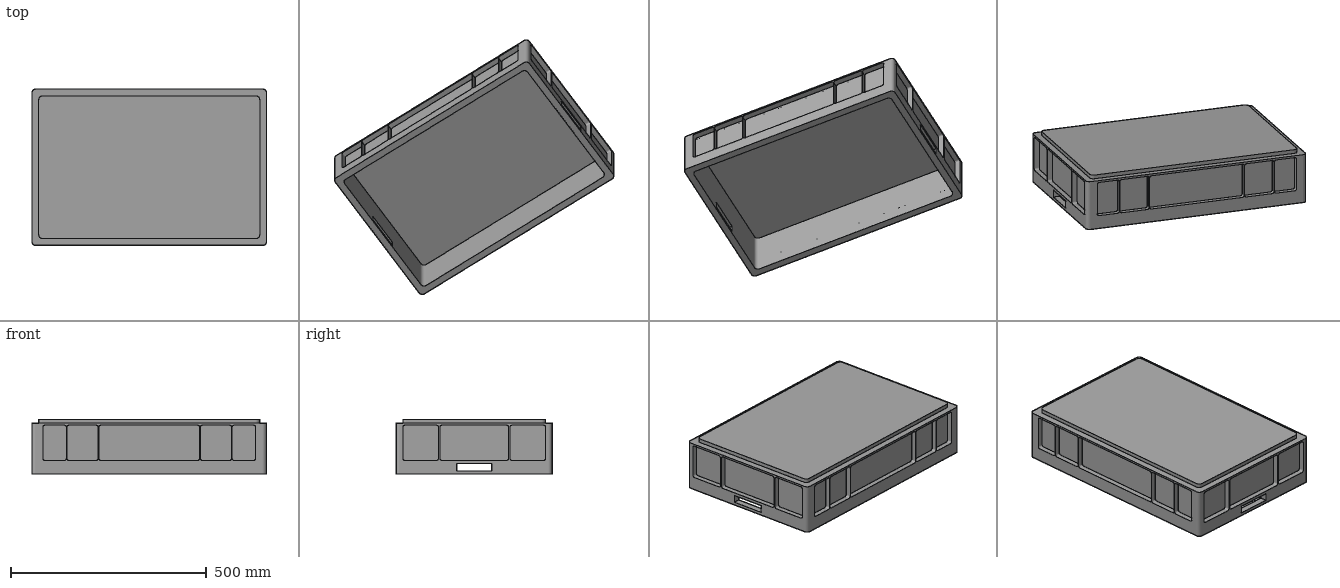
import cadquery as cq

LENGTH = 600.0
WIDTH = 400.0
HEIGHT = 140.0
FOOT_HEIGHT = 10.0
BODY_HEIGHT = HEIGHT - FOOT_HEIGHT
CORNER_RADIUS = 10.0

WALL = 17.5
ROOF = WALL
CAVITY_LENGTH = LENGTH - 2 * WALL
CAVITY_WIDTH = WIDTH - 2 * WALL
CAVITY_HEIGHT = HEIGHT - ROOF

PANEL_DEPTH = 14.0
PANEL_BOTTOM = 35.0
PANEL_HEIGHT = 90.0
PANEL_MIDDLE = PANEL_BOTTOM + PANEL_HEIGHT / 2
PANEL_RADIUS = 5.0

LONG_WALL_PANELS = (258.0, 80.0, 60.0)
LONG_WALL_RIB = 1.5
SHORT_WALL_PANELS = (175.0, 91.0)
SHORT_WALL_RIB = 4.0

SLOT_WIDTH = 89.0
SLOT_HEIGHT = 19.0
SLOT_BOTTOM = 8.0


def rounded_block(length, width, height, bottom):
    """Upright block centred on Z with rounded vertical edges."""
    block = cq.Workplane("XY").box(length, width, height, centered=(True, True, False))
    return block.edges("|Z").fillet(CORNER_RADIUS).translate((0, 0, bottom))


def panel_spans(widths, rib):
    """(centre, width) of every panel along a wall, for both halves of the wall."""
    spans = [(0.0, widths[0])]
    edge = widths[0] / 2
    for width in widths[1:]:
        centre = edge + rib + width / 2
        spans += [(-centre, width), (centre, width)]
        edge = centre + width / 2
    return spans


def panel_cutter(size_x, size_y, wall_axis):
    """Block with the four edges along the wall's normal axis rounded."""
    block = cq.Workplane("XY").box(size_x, size_y, PANEL_HEIGHT)
    return block.edges(f"|{wall_axis}").fillet(PANEL_RADIUS)


def cut_long_wall_panels(crate):
    """Recess the panels of the two walls parallel to X."""
    offset = (WIDTH - PANEL_DEPTH) / 2
    for centre, width in panel_spans(LONG_WALL_PANELS, LONG_WALL_RIB):
        cutter = panel_cutter(width, PANEL_DEPTH, "Y")
        for y in (-offset, offset):
            crate = crate.cut(cutter.translate((centre, y, PANEL_MIDDLE)))
    return crate


def cut_short_wall_panels(crate):
    """Recess the panels of the two walls parallel to Y."""
    offset = (LENGTH - PANEL_DEPTH) / 2
    for centre, width in panel_spans(SHORT_WALL_PANELS, SHORT_WALL_RIB):
        cutter = panel_cutter(PANEL_DEPTH, width, "X")
        for x in (-offset, offset):
            crate = crate.cut(cutter.translate((x, centre, PANEL_MIDDLE)))
    return crate


def wall_slots():
    """Cutter for the aligned slots in both short walls."""
    slot = cq.Workplane("XY").box(LENGTH, SLOT_WIDTH, SLOT_HEIGHT, centered=(True, True, False))
    return slot.translate((0, 0, SLOT_BOTTOM))


body = rounded_block(LENGTH, WIDTH, BODY_HEIGHT, 0)
foot = rounded_block(CAVITY_LENGTH, CAVITY_WIDTH, FOOT_HEIGHT, BODY_HEIGHT)
cavity = rounded_block(CAVITY_LENGTH, CAVITY_WIDTH, CAVITY_HEIGHT, 0)

result = body.union(foot).cut(cavity).cut(wall_slots())
result = cut_long_wall_panels(result)
result = cut_short_wall_panels(result)